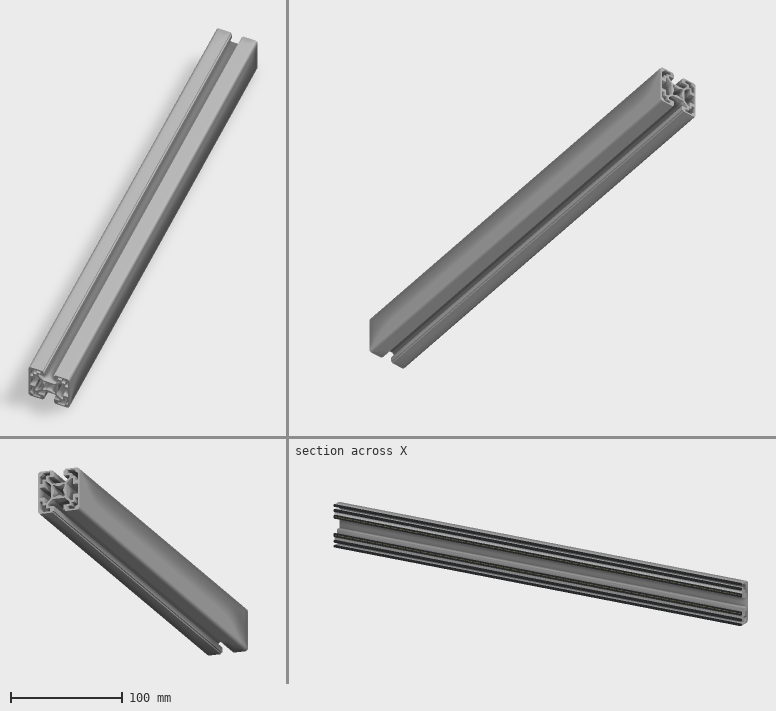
import cadquery as cq

length = 430.0
width = 40.0
half_width = width / 2

corner_radius = 2.8
skin = 1.5
cavity_reach = half_width - skin

mouth_half_width = 4.7
rabbet_half_width = 6.0
rabbet_depth = 1.5
lip_underside = 13.8
chamber_half_width = 10.5
chamber_floor = 7.5

web_offset = 1.38

lip_width = 3.65
lip_back = mouth_half_width + lip_width
chamber_wall = 1.95
cavity_elbow = chamber_half_width + chamber_wall
cavity_step = 15.5
corner_post_radius = 5.0

core_wall = 1.5
core_half_width = chamber_floor - core_wall
rib_height = 1.5
rib_half_width = 4.0


def prism(points):
    """Extrude a closed outline in the XZ plane over the full length."""
    return cq.Workplane("XZ").polyline(points).close().extrude(length / 2, both=True)


def around_axis(body, angle):
    return body.rotate((0, 0, 0), (0, 1, 0), angle)


def slot_chamber():
    """Wide space under the lips; its lower corners are cut off along the webs."""
    right_side = [
        (chamber_floor - web_offset, chamber_floor),
        (chamber_half_width, chamber_half_width + web_offset),
        (chamber_half_width, lip_underside),
    ]
    left_side = [(-x, z) for x, z in reversed(right_side)]
    return prism(right_side + left_side)


def slot_channel(channel_half_width, bottom, top):
    """Straight channel centred on the slot, between two heights above the axis."""
    outline = [
        (-channel_half_width, bottom),
        (channel_half_width, bottom),
        (channel_half_width, top),
        (-channel_half_width, top),
    ]
    return prism(outline)


def open_mouth():
    """Gap between the lips, widened by a shallow rabbet at the outer face."""
    gap = slot_channel(mouth_half_width, chamber_floor, half_width)
    rabbet = slot_channel(rabbet_half_width, half_width - rabbet_depth, half_width)
    return gap.union(rabbet)


def closed_mouth():
    """Gap between the lips that stops at the skin."""
    return slot_channel(mouth_half_width, chamber_floor, cavity_reach)


def corner_cavity():
    """Hollow in the +X +Z corner, symmetric about the diagonal, less a round corner post."""
    lower_arm = [
        (cavity_reach, lip_back),
        (cavity_step, lip_back),
        (cavity_step, cavity_elbow),
    ]
    upper_arm = [(z, x) for x, z in reversed(lower_arm)]
    elbow = [(cavity_elbow, cavity_elbow)]
    outer_corner = [(cavity_reach, cavity_reach)]
    hollow = prism(lower_arm + elbow + upper_arm + outer_corner)
    corner_post = (
        cq.Workplane("XZ")
        .center(half_width, half_width)
        .circle(corner_post_radius)
        .extrude(length / 2, both=True)
    )
    return hollow.cut(corner_post)


def core_hole():
    """Square hole with a rounded rib bulging inward on each side."""
    side = [
        (-rib_half_width, core_half_width),
        (0, core_half_width - rib_height),
        (rib_half_width, core_half_width),
        (core_half_width, core_half_width),
    ]
    outline = cq.Workplane("XZ").moveTo(-core_half_width, core_half_width)
    for _ in range(4):
        rib_start, rib_crest, rib_end, next_corner = side
        outline = outline.lineTo(*rib_start).threePointArc(rib_crest, rib_end).lineTo(*next_corner)
        side = [(z, -x) for x, z in side]
    return outline.close().extrude(length / 2, both=True)


result = cq.Workplane("XY").box(width, length, width).edges("|Y").fillet(corner_radius)

for angle in (0, 90, 180, 270):
    result = result.cut(around_axis(slot_chamber(), angle))
    result = result.cut(around_axis(corner_cavity(), angle))

for angle in (0, 180):
    result = result.cut(around_axis(open_mouth(), angle))
for angle in (90, 270):
    result = result.cut(around_axis(closed_mouth(), angle))

result = result.cut(core_hole())